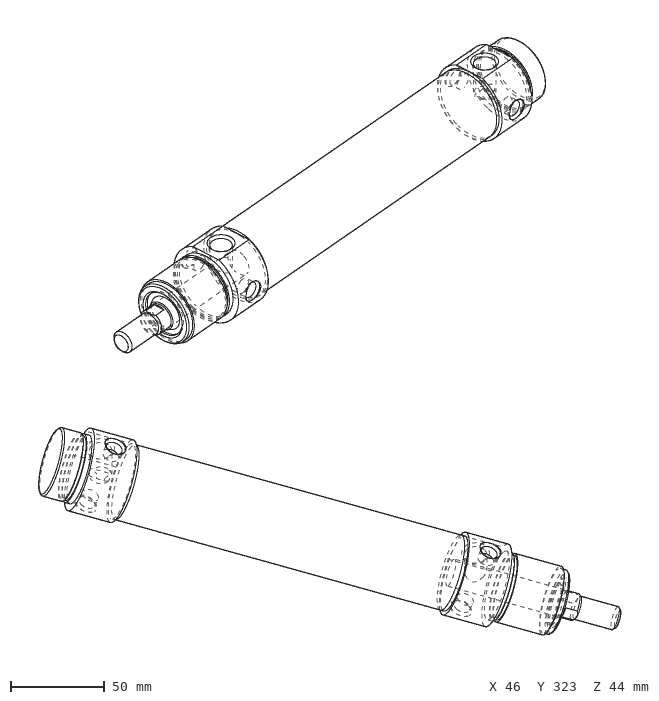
import cadquery as cq
import math

TOTAL_LENGTH = 323.0

BARREL_DIA = 41.7
COLLAR_DIA = 46.0
COLLAR_LENGTH = 24.2
COLLAR_FLAT_Z = 21.0
SHOULDER_LENGTH = 2.0
NECK_DIA = 38.0
GROOVE_DIA = 36.0
GROOVE_WIDTH = 2.0
GROOVE_OFFSET = 3.0

FRONT_COLLAR_Y = 68.8
FRONT_FACE_Y = 33.5
NOSE_DIA = 36.0
NOSE_LENGTH = 4.0
NOSE_CHAMFER = 1.0
REAR_COLLAR_Y = 282.3
REAR_CHAMFER = 1.0

SEAT_DIA = 26.0
SEAT_DEPTH = 2.3
SEAT_CHAMFER = 1.0
LIP_BASE_DIA = 20.0
LIP_TIP_DIA = 16.8
LIP_PROTRUSION = 1.5
LIP_CONE_HEIGHT = 1.3

PORT_DIA = 12.0
PORT_MOUTH_DIA = 15.0
PORT_DEPTH = 21.0
DRILL_POINT_ANGLE = 118.0
PORT_BAR_DIA = 4.5
SIDE_HOLE_DIA = 9.0
SIDE_HOLE_MOUTH_DIA = 12.0
SIDE_HOLE_DEPTH = 6.8

ROD_DIA = 15.0
ROD_SHOULDER_Y = 23.0
ROD_SHOULDER_TAPER = 1.3
THREAD_DIA = 13.0
TIP_DIA = 10.0
FLAT_HEIGHT = 13.2
FLAT_END_Y = 30.7

FRONT_BARREL_Y = FRONT_COLLAR_Y + COLLAR_LENGTH + SHOULDER_LENGTH
REAR_BARREL_Y = REAR_COLLAR_Y - SHOULDER_LENGTH


def turned(profile):
    """Solid turned about the Y axis from (radius, y) points."""
    return cq.Workplane("XY").polyline(profile).close().revolve(360, (0, 0, 0), (0, 1, 0))


def cylinder_y(diameter, y_start, y_end):
    """Plain cylinder on the Y axis."""
    return cq.Workplane("XZ", origin=(0, y_start, 0)).circle(diameter / 2).extrude(y_start - y_end)


def neck_groove(y_start):
    """Ring that cuts the narrow groove in a cap neck."""
    ring = cylinder_y(COLLAR_DIA, y_start, y_start + GROOVE_WIDTH)
    return ring.cut(cylinder_y(GROOVE_DIA, y_start, y_start + GROOVE_WIDTH))


def chamfered_bore(diameter, mouth_diameter, depth, point_depth=0.0):
    """Cutter along -Z from Z = 0 with a 45 degree mouth and an optional cone below its depth."""
    mouth_depth = (mouth_diameter - diameter) / 2
    profile = [
        (0, 0),
        (mouth_diameter / 2, 0),
        (diameter / 2, -mouth_depth),
        (diameter / 2, -depth),
        (0, -depth - point_depth),
    ]
    return cq.Workplane("XZ").polyline(profile).close().revolve(360, (0, 0, 0), (0, 1, 0))


def collar(y_start):
    """Large ring with a flat on top and two chamfered side holes."""
    y_middle = y_start + COLLAR_LENGTH / 2
    body = cylinder_y(COLLAR_DIA, y_start, y_start + COLLAR_LENGTH)
    above_flat = cq.Workplane("XY").box(COLLAR_DIA, COLLAR_LENGTH, COLLAR_DIA, centered=(True, True, False))
    body = body.cut(above_flat.translate((0, y_middle, COLLAR_FLAT_Z)))
    mouth_x = math.sqrt(COLLAR_DIA ** 2 - SIDE_HOLE_MOUTH_DIA ** 2) / 2
    for side in (-1, 1):
        hole = chamfered_bore(SIDE_HOLE_DIA, SIDE_HOLE_MOUTH_DIA, SIDE_HOLE_DEPTH)
        spot = cq.Workplane("XY").circle(SIDE_HOLE_MOUTH_DIA / 2).extrude(COLLAR_DIA / 2 - mouth_x)
        cutter = hole.union(spot).translate((0, 0, mouth_x))
        cutter = cutter.rotate((0, 0, 0), (0, 1, 0), side * 90)
        body = body.cut(cutter.translate((0, y_middle, 0)))
    return body


def port(y_start):
    """Cutter for the chamfered air port in the top of a collar."""
    point_depth = PORT_DIA / 2 / math.tan(math.radians(DRILL_POINT_ANGLE / 2))
    bore = chamfered_bore(PORT_DIA, PORT_MOUTH_DIA, PORT_DEPTH, point_depth)
    return bore.translate((0, y_start + COLLAR_LENGTH / 2, COLLAR_FLAT_Z))


def make_barrel():
    """Plain barrel between the shoulders of the two caps."""
    return cylinder_y(BARREL_DIA, FRONT_BARREL_Y, REAR_BARREL_Y)


def make_front_cap():
    """Ported cap with the long neck, the wiper seat and the bore that guides the rod."""
    nose_end = FRONT_FACE_Y + NOSE_LENGTH
    seat_floor = FRONT_FACE_Y + SEAT_DEPTH
    seat_radius = SEAT_DIA / 2
    neck = turned([
        (ROD_DIA / 2, FRONT_FACE_Y - LIP_PROTRUSION),
        (LIP_TIP_DIA / 2, FRONT_FACE_Y - LIP_CONE_HEIGHT),
        (LIP_BASE_DIA / 2, seat_floor),
        (seat_radius, seat_floor),
        (seat_radius, FRONT_FACE_Y + SEAT_CHAMFER),
        (seat_radius + SEAT_CHAMFER, FRONT_FACE_Y),
        (NOSE_DIA / 2 - NOSE_CHAMFER, FRONT_FACE_Y),
        (NOSE_DIA / 2, FRONT_FACE_Y + NOSE_CHAMFER),
        (NOSE_DIA / 2, nose_end),
        (NECK_DIA / 2, nose_end),
        (NECK_DIA / 2, FRONT_COLLAR_Y),
        (ROD_DIA / 2, FRONT_COLLAR_Y),
    ])
    neck = neck.cut(neck_groove(FRONT_COLLAR_Y - GROOVE_OFFSET - GROOVE_WIDTH))
    shoulder = cylinder_y(BARREL_DIA, FRONT_COLLAR_Y + COLLAR_LENGTH, FRONT_BARREL_Y)
    base = collar(FRONT_COLLAR_Y).union(shoulder)
    base = base.cut(cylinder_y(ROD_DIA, FRONT_COLLAR_Y, FRONT_BARREL_Y))
    return neck.union(base).cut(port(FRONT_COLLAR_Y))


def make_rear_cap():
    """Ported cap with the short neck that closes the rear end."""
    neck_start = REAR_COLLAR_Y + COLLAR_LENGTH
    neck = cylinder_y(NECK_DIA, neck_start, TOTAL_LENGTH).faces(">Y").chamfer(REAR_CHAMFER)
    neck = neck.cut(neck_groove(neck_start + GROOVE_OFFSET))
    shoulder = cylinder_y(BARREL_DIA, REAR_BARREL_Y, REAR_COLLAR_Y)
    bar = cylinder_y(PORT_BAR_DIA, REAR_COLLAR_Y, neck_start)
    return neck.union(collar(REAR_COLLAR_Y)).union(shoulder).cut(port(REAR_COLLAR_Y).cut(bar))


def make_rod():
    """Rod with two wrench flats and a thinner threaded end, reaching in to the barrel face."""
    tip_chamfer = (THREAD_DIA - TIP_DIA) / 2
    body = turned([
        (0, 0),
        (TIP_DIA / 2, 0),
        (THREAD_DIA / 2, tip_chamfer),
        (THREAD_DIA / 2, ROD_SHOULDER_Y),
        (ROD_DIA / 2, ROD_SHOULDER_Y + ROD_SHOULDER_TAPER),
        (ROD_DIA / 2, FRONT_BARREL_Y),
        (0, FRONT_BARREL_Y),
    ])
    flat_length = FLAT_END_Y - ROD_SHOULDER_Y
    for side in (-1, 1):
        block = cq.Workplane("XY").box(ROD_DIA, flat_length, ROD_DIA)
        block_z = side * (FLAT_HEIGHT + ROD_DIA) / 2
        body = body.cut(block.translate((0, ROD_SHOULDER_Y + flat_length / 2, block_z)))
    return body


barrel = make_barrel()
front_cap = make_front_cap()
rear_cap = make_rear_cap()
rod = make_rod()

result = cq.Compound.makeCompound([barrel.val(), front_cap.val(), rear_cap.val(), rod.val()])